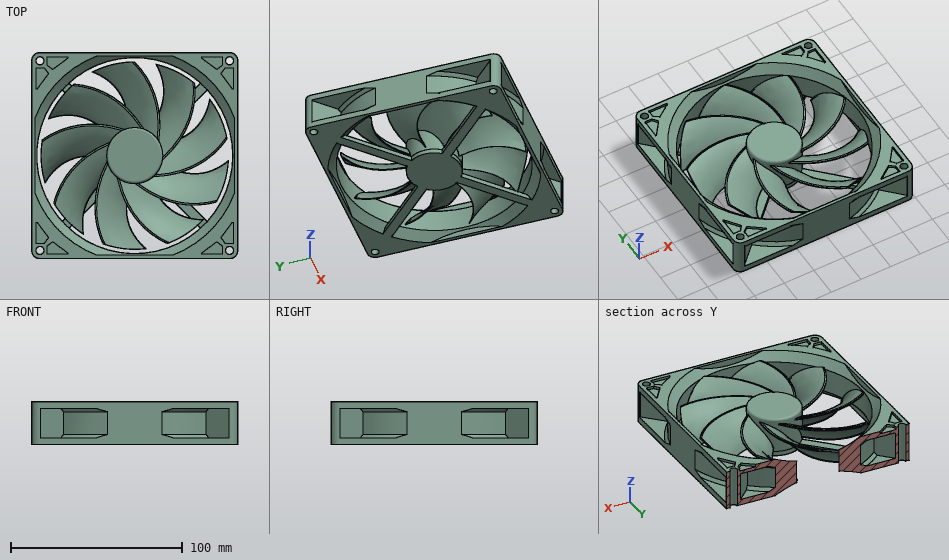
import cadquery as cq
import math

FRAME_SIDE = 120.0
FRAME_HEIGHT = 25.0
CORNER_RADIUS = 4.7

BORE_RADIUS = 114.0 / 2
DUCT_WALL = 5.0
DUCT_OUTER_RADIUS = BORE_RADIUS + DUCT_WALL
FLARE_DEPTH = DUCT_WALL
MOUTH_SIDE = 115.9

FLANGE_THICKNESS = 4.0
WINDOW_FLARE = 1.9
WEB_WIDTH = 6.4
POST_SIDE = 5.2

HOLE_DIAMETER = 4.5
HOLE_OFFSET = 55.2
POCKET_DEPTH = 1.5
POCKET_EDGE = 57.4
POCKET_NEAR_END = 51.1
POCKET_FAR_END = 38.9
POCKET_TIP = (47.8, 50.2)
POCKET_FAR_WALL = 0.6
POCKET_NEAR_WALL = 4.7

BASE_DIAMETER = 32.6
BASE_HEIGHT = 3.0
STRUT_WIDTH = 5.6

HUB_DIAMETER = 32.6
HUB_TOP = 24.5
HUB_EDGE_RADIUS = 1.5
BLADE_COUNT = 9
BLADE_TIP_RADIUS = 54.6
BLADE_THICKNESS = 1.1
BLADE_CAMBER = 2.6
LIP_WIDTH = 1.1
LIP_DROP = 0.1
NOSE_HEIGHT = 0.6
TRAILING_HEIGHT = 5.4
TRAILING_THICKNESS = 0.6
BLADE_STATIONS = [
    (15.0, 31.0, 102.0, 21.6),
    (21.6, 51.0, 100.5, 22.0),
    (31.8, 67.0, 101.5, 22.2),
    (42.0, 78.6, 106.5, 22.5),
    (57.6, 95.0, 120.0, 22.7),
]

DIAGONALS = (45, 135)
QUARTER_TURNS = [90 * i for i in range(4)]
Z_AXIS = ((0, 0, 0), (0, 0, 1))


def centered_box(length, width, height, bottom=0.0):
    """Box centered on the fan axis, standing on the given height."""
    return cq.Workplane("XY", origin=(0, 0, bottom)).rect(length, width).extrude(height)


def revolve_profile(points):
    """Solid of revolution about the fan axis from (radius, height) points."""
    return cq.Workplane("XZ").polyline(points).close().revolve(360, (0, 0), (0, 1))


def duct_opening():
    """Air passage with both flared mouths, clipped to the mouth square."""
    passage = revolve_profile([
        (0, 0),
        (DUCT_OUTER_RADIUS, 0),
        (BORE_RADIUS, FLARE_DEPTH),
        (BORE_RADIUS, FRAME_HEIGHT - FLARE_DEPTH),
        (DUCT_OUTER_RADIUS, FRAME_HEIGHT),
        (0, FRAME_HEIGHT),
    ])
    return passage.intersect(centered_box(MOUTH_SIDE, MOUTH_SIDE, FRAME_HEIGHT))


def corner_post():
    """Square post at the +X +Y corner, over the full height."""
    center = (FRAME_SIDE - POST_SIDE) / 2
    return centered_box(POST_SIDE, POST_SIDE, FRAME_HEIGHT).translate((center, center, 0))


def window_cavity():
    """Space between the flanges, outside the duct wall and between the corner posts and webs."""
    bottom = FLANGE_THICKNESS
    top = FRAME_HEIGHT - FLANGE_THICKNESS
    flared_radius = DUCT_OUTER_RADIUS + WINDOW_FLARE
    duct = revolve_profile([
        (0, bottom),
        (flared_radius, bottom),
        (DUCT_OUTER_RADIUS, bottom + WINDOW_FLARE),
        (DUCT_OUTER_RADIUS, top - WINDOW_FLARE),
        (flared_radius, top),
        (0, top),
    ])
    cavity = centered_box(FRAME_SIDE, FRAME_SIDE, top - bottom, bottom).cut(duct)
    web = centered_box(2 * FRAME_SIDE, WEB_WIDTH, FRAME_HEIGHT)
    for angle in DIAGONALS:
        cavity = cavity.cut(web.rotate(*Z_AXIS, angle))
    for angle in QUARTER_TURNS:
        cavity = cavity.cut(corner_post().rotate(*Z_AXIS, angle))
    return cavity


def corner_pockets():
    """Two shallow pockets, mirrored about the corner diagonal, in the top face at +X +Y."""
    outline = [
        (POCKET_FAR_END, POCKET_EDGE),
        (POCKET_NEAR_END, POCKET_EDGE),
        (POCKET_NEAR_END, POCKET_EDGE - POCKET_NEAR_WALL),
        POCKET_TIP,
        (POCKET_FAR_END, POCKET_EDGE - POCKET_FAR_WALL),
    ]
    mirrored = [(y, x) for x, y in outline]
    floor = cq.Workplane("XY", origin=(0, 0, FRAME_HEIGHT - POCKET_DEPTH))
    return floor.polyline(outline).close().polyline(mirrored).close().extrude(POCKET_DEPTH)


def motor_support():
    """Motor base disc with its four diagonal struts."""
    support = cq.Workplane("XY").circle(BASE_DIAMETER / 2).extrude(BASE_HEIGHT)
    strut = centered_box(2 * DUCT_OUTER_RADIUS, STRUT_WIDTH, BASE_HEIGHT)
    for angle in DIAGONALS:
        support = support.union(strut.rotate(*Z_AXIS, angle))
    return support


def make_frame():
    frame = centered_box(FRAME_SIDE, FRAME_SIDE, FRAME_HEIGHT).edges("|Z").fillet(CORNER_RADIUS)
    frame = frame.cut(window_cavity()).cut(duct_opening())
    pockets = corner_pockets()
    for angle in QUARTER_TURNS:
        frame = frame.cut(pockets.rotate(*Z_AXIS, angle))
    frame = frame.union(motor_support())
    holes = (
        cq.Workplane("XY")
        .rect(2 * HOLE_OFFSET, 2 * HOLE_OFFSET, forConstruction=True)
        .vertices()
        .circle(HOLE_DIAMETER / 2)
        .extrude(FRAME_HEIGHT)
    )
    return frame.cut(holes)


def polar_point(radius, angle, height):
    turn = math.radians(angle)
    return cq.Vector(radius * math.cos(turn), radius * math.sin(turn), height)


def blade_section(radius, leading_angle, trailing_angle, leading_height):
    """Arched section in the upright plane through its leading and trailing points."""
    leading = polar_point(radius, leading_angle, leading_height)
    trailing = polar_point(radius, trailing_angle, TRAILING_HEIGHT)
    chord = trailing - leading
    across = cq.Vector(chord.x, chord.y, 0).normalized()
    upward = across * (-chord.z) + cq.Vector(0, 0, math.hypot(chord.x, chord.y))
    upward = upward.normalized()
    crest = (leading + trailing) * 0.5 + upward * BLADE_CAMBER
    lower_crest = crest - upward * BLADE_THICKNESS
    lower_trailing = trailing - upward * TRAILING_THICKNESS
    nose_top = leading - across * LIP_WIDTH - cq.Vector(0, 0, LIP_DROP)
    nose_bottom = nose_top - cq.Vector(0, 0, NOSE_HEIGHT)
    return cq.Wire.assembleEdges([
        cq.Edge.makeThreePointArc(leading, crest, trailing),
        cq.Edge.makeLine(trailing, lower_trailing),
        cq.Edge.makeThreePointArc(lower_trailing, lower_crest, nose_bottom),
        cq.Edge.makeLine(nose_bottom, nose_top),
        cq.Edge.makeLine(nose_top, leading),
    ])


def make_blade():
    """Swept blade lofted through its stations and trimmed to the tip circle."""
    blade = cq.Solid.makeLoft([blade_section(*station) for station in BLADE_STATIONS])
    tip_trim = cq.Workplane("XY").circle(BLADE_TIP_RADIUS).extrude(FRAME_HEIGHT)
    return cq.Workplane(blade).intersect(tip_trim)


def make_rotor():
    rotor = (
        cq.Workplane("XY", origin=(0, 0, BASE_HEIGHT))
        .circle(HUB_DIAMETER / 2)
        .extrude(HUB_TOP - BASE_HEIGHT)
        .faces(">Z")
        .edges()
        .fillet(HUB_EDGE_RADIUS)
    )
    blade = make_blade()
    for i in range(BLADE_COUNT):
        rotor = rotor.union(blade.rotate(*Z_AXIS, 360 / BLADE_COUNT * i))
    return rotor


frame = make_frame()
rotor = make_rotor()
result = cq.Compound.makeCompound([frame.solids().val(), rotor.solids().val()])